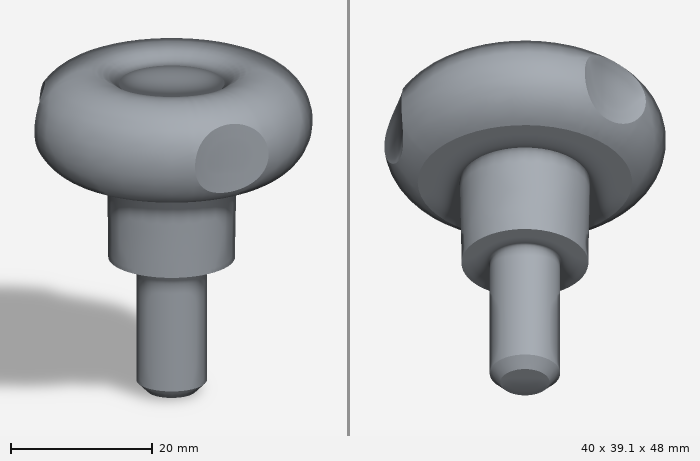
import cadquery as cq
import math

stud_length = 20.0
hub_height = 13.5
overall_height = 48.0

grip_radius = 20.0
ring_radius = 7.5
ring_center_radius = grip_radius - ring_radius
ring_center_z = overall_height - stud_length - ring_radius
dimple_radius = 7.5

hub_top_radius = 9.25
hub_bottom_radius = 9.0

stud_radius = 5.0
tip_chamfer = 1.5
root_fillet = 0.25

scallop_count = 3
scallop_radius = 15.5
scallop_floor_radius = 18.0
first_scallop_angle = 90.0


def ring_offset(distance):
    """Half chord of the ring section at a distance from its center."""
    return math.sqrt(ring_radius**2 - distance**2)


def make_grip():
    """Revolve the ring section, with a flat-bottomed dimple on top."""
    underside_z = hub_height
    underside_radius = ring_center_radius + ring_offset(ring_center_z - underside_z)
    dimple_z = ring_center_z + ring_offset(ring_center_radius - dimple_radius)
    rim = (grip_radius, ring_center_z)
    return (
        cq.Workplane("XZ")
        .moveTo(0, underside_z)
        .lineTo(underside_radius, underside_z)
        .threePointArc(rim, (dimple_radius, dimple_z))
        .lineTo(0, dimple_z)
        .close()
        .revolve(360, (0, 0), (0, 1))
    )


def make_hub():
    """Tapered round hub carrying the grip."""
    return (
        cq.Workplane("XY")
        .circle(hub_bottom_radius)
        .workplane(offset=hub_height)
        .circle(hub_top_radius)
        .loft()
    )


def make_stud():
    """Round stud hanging from the hub, filleted at its root and bevelled at its tip."""
    return (
        cq.Workplane("XZ")
        .moveTo(0, 0)
        .lineTo(stud_radius + root_fillet, 0)
        .radiusArc((stud_radius, -root_fillet), -root_fillet)
        .lineTo(stud_radius, tip_chamfer - stud_length)
        .lineTo(stud_radius - tip_chamfer, -stud_length)
        .lineTo(0, -stud_length)
        .close()
        .revolve(360, (0, 0), (0, 1))
    )


def make_scallops():
    """Upright cylinders that bite evenly spaced finger grips into the rim."""
    return (
        cq.Workplane("XY", origin=(0, 0, hub_height))
        .polarArray(
            scallop_floor_radius + scallop_radius,
            first_scallop_angle,
            360,
            scallop_count,
        )
        .circle(scallop_radius)
        .extrude(2 * ring_radius)
    )


result = make_grip().cut(make_scallops()).union(make_hub()).union(make_stud())